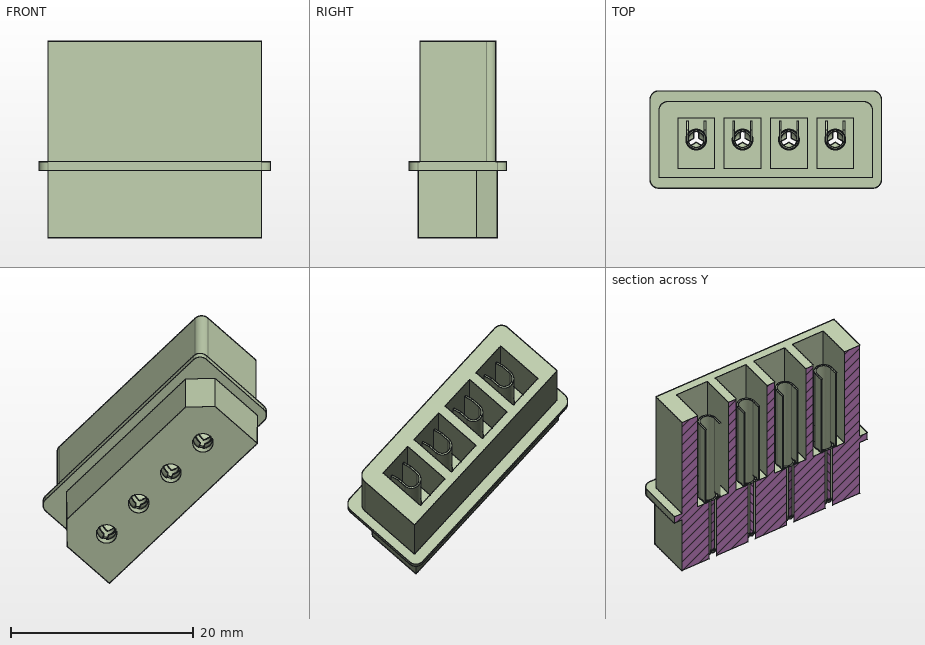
import cadquery as cq
import math

FLANGE_LENGTH = 25.45
FLANGE_DEPTH = 10.7
FLANGE_THICKNESS = 1.0
FLANGE_OVERHANG = 1.0
CORNER_RADIUS = 1.0

TOTAL_HEIGHT = 21.6
LOWER_HEIGHT = 7.38
LOWER_CHAMFER = 2.3
UPPER_FRONT_Y = -4.15
UPPER_BACK_Y = 4.17

BLOCK_LENGTH = FLANGE_LENGTH - 2 * FLANGE_OVERHANG
LOWER_DEPTH = FLANGE_DEPTH - 2 * FLANGE_OVERHANG
UPPER_DEPTH = UPPER_BACK_Y - UPPER_FRONT_Y
UPPER_CENTER_Y = (UPPER_BACK_Y + UPPER_FRONT_Y) / 2
FLANGE_TOP = LOWER_HEIGHT + FLANGE_THICKNESS
UPPER_HEIGHT = TOTAL_HEIGHT - FLANGE_TOP

CONTACT_COUNT = 4
CONTACT_PITCH = 5.1
CELL_LENGTH = 4.05
CELL_DEPTH = 5.5
CELL_CENTER_Y = -0.4
CELL_FLOOR = FLANGE_TOP
HOLE_RADIUS = 1.12

TUBE_DIAMETER = 2.1
WALL = 0.19
SLOT_WIDTH = 0.5
SLOT_COUNT = 3
SLOT_LENGTH = 1.27
CONTACT_RECESS = 2.55
WING_REACH = 2.05
WING_SLOPE_ANGLE = 45.0

TUBE_RADIUS = TUBE_DIAMETER / 2
TUBE_BORE_RADIUS = TUBE_RADIUS - WALL
CONTACT_TOP = TOTAL_HEIGHT - CONTACT_RECESS
WING_DROP = (WING_REACH - TUBE_RADIUS) * math.tan(math.radians(WING_SLOPE_ANGLE))

contact_xs = [(i - (CONTACT_COUNT - 1) / 2) * CONTACT_PITCH for i in range(CONTACT_COUNT)]


def make_housing():
    lower = (
        cq.Workplane("XY")
        .box(BLOCK_LENGTH, LOWER_DEPTH, LOWER_HEIGHT, centered=(True, True, False))
        .edges("|Z and >Y")
        .chamfer(LOWER_CHAMFER)
    )
    flange = (
        cq.Workplane("XY", origin=(0, 0, LOWER_HEIGHT))
        .box(FLANGE_LENGTH, FLANGE_DEPTH, FLANGE_THICKNESS, centered=(True, True, False))
        .edges("|Z")
        .fillet(CORNER_RADIUS)
    )
    upper = (
        cq.Workplane("XY", origin=(0, UPPER_CENTER_Y, FLANGE_TOP))
        .box(BLOCK_LENGTH, UPPER_DEPTH, UPPER_HEIGHT, centered=(True, True, False))
        .edges("|Z and >Y")
        .fillet(CORNER_RADIUS)
    )
    body = lower.union(flange).union(upper)
    cells = (
        cq.Workplane("XY", origin=(0, 0, CELL_FLOOR))
        .pushPoints([(x, CELL_CENTER_Y) for x in contact_xs])
        .rect(CELL_LENGTH, CELL_DEPTH)
        .extrude(TOTAL_HEIGHT - CELL_FLOOR)
    )
    holes = (
        cq.Workplane("XY")
        .pushPoints([(x, 0) for x in contact_xs])
        .circle(HOLE_RADIUS)
        .extrude(CELL_FLOOR)
    )
    return body.cut(cells).cut(holes)


def round_ended_rod(radius):
    """A rod on the Z axis with a hemispherical lower end centred at Z = TUBE_RADIUS."""
    return (
        cq.Workplane("XZ")
        .moveTo(0, TUBE_RADIUS - radius)
        .radiusArc((radius, TUBE_RADIUS), -radius)
        .lineTo(radius, CELL_FLOOR)
        .lineTo(0, CELL_FLOOR)
        .close()
        .revolve(360, (0, 0, 0), (0, 1, 0))
    )


def make_tube():
    """Tube whose domed lower end is split into three fingers by radial slots."""
    tube = round_ended_rod(TUBE_RADIUS).cut(round_ended_rod(TUBE_BORE_RADIUS))
    for i in range(SLOT_COUNT):
        slot = (
            cq.Workplane("XY")
            .box(SLOT_WIDTH, SLOT_LENGTH, TUBE_RADIUS, centered=(True, False, False))
            .rotate((0, 0, 0), (0, 0, 1), i * 360 / SLOT_COUNT)
        )
        tube = tube.cut(slot)
    return tube


def u_block(radius):
    """A solid U, rounded toward -Y, from the cell floor to the contact top."""
    return (
        cq.Workplane("XY", origin=(0, 0, CELL_FLOOR))
        .moveTo(-radius, WING_REACH)
        .lineTo(-radius, 0)
        .threePointArc((0, -radius), (radius, 0))
        .lineTo(radius, WING_REACH)
        .close()
        .extrude(CONTACT_TOP - CELL_FLOOR)
    )


def make_wings():
    """U-shaped wall open toward +Y, with its two wing tips sloping down."""
    above_slope = (
        cq.Workplane("YZ")
        .moveTo(TUBE_RADIUS, CONTACT_TOP)
        .lineTo(WING_REACH, CONTACT_TOP)
        .lineTo(WING_REACH, CONTACT_TOP - WING_DROP)
        .close()
        .extrude(TUBE_RADIUS, both=True)
    )
    return u_block(TUBE_RADIUS).cut(u_block(TUBE_BORE_RADIUS)).cut(above_slope)


def make_contact(x):
    return make_tube().union(make_wings()).translate((x, 0, 0))


housing = make_housing()
contacts = [make_contact(x) for x in contact_xs]

result = cq.Compound.makeCompound([housing.val(), *[c.val() for c in contacts]])